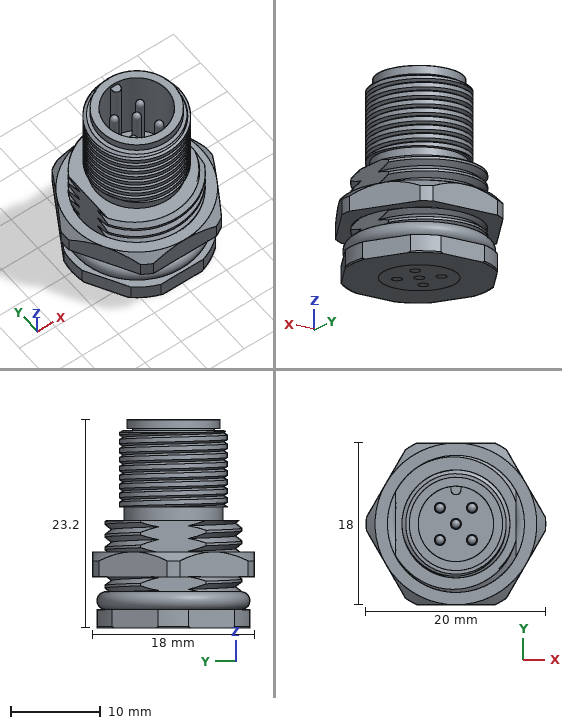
import cadquery as cq
import math

total_height = 23.2
flange_top = 2.06
panel_thread_bottom = 4.05
nut_bottom = 5.7
nut_height = 2.78
panel_thread_top = 11.97
plug_thread_bottom = 13.5
plug_thread_top = 22.0
lip_bottom = 22.2

flange_across_flats = 17.0
flange_radius = 9.0
flange_chamfer_radial = 0.1
flange_chamfer_height = 0.16

nut_across_flats = 18.0
nut_radius = 10.0
nut_chamfer = nut_radius - nut_across_flats / 2

panel_thread_radius = 7.63
panel_thread_pitch = 1.42
panel_groove_depth = 0.72
panel_groove_half_angle = 38.0
panel_groove_level = 9.2
panel_flat_offset = 6.7

plug_thread_radius = 6.0
plug_thread_pitch = 1.0
plug_groove_depth = 0.42
plug_groove_half_angle = 30.0
plug_groove_level = 20.0
plug_chamfer_radial = 0.42
plug_chamfer_height = 0.23
plug_neck_radius = 5.52

ring_outer_radius = 8.51
ring_tube_radius = (panel_thread_bottom - flange_top) / 2
ring_path_radius = ring_outer_radius - ring_tube_radius
seal_neck_radius = ring_path_radius - ring_tube_radius

carrier_radius = 4.55
lip_radius = 5.2
cup_radius = 4.2
cup_floor = plug_thread_bottom
key_width = 1.11
key_reach = 3.25
key_top = 22.78

pin_shank_radius = 0.6
pin_radius = 0.5
pin_spacing = 3.57
outer_pin_top = 21.11
centre_pin_top = 22.1


def cylinder(radius, bottom, top):
    """Solid cylinder on the connector axis between two levels."""
    return cq.Workplane("XY").workplane(offset=bottom).circle(radius).extrude(top - bottom)


def hex_prism(across_flats, bottom, top):
    """Hexagonal prism with two corners on the X axis."""
    corner_diameter = across_flats / math.cos(math.pi / 6)
    return cq.Workplane("XY").workplane(offset=bottom).polygon(6, corner_diameter).extrude(top - bottom)


def cut_thread(blank, radius, pitch, depth, half_angle, groove_level, bottom, top):
    """Cut a right-handed V groove along a round blank, running out through both ends.

    groove_level is a height at which the groove root crosses the XZ plane on the +X side.
    """
    overshoot = 0.12
    half_width = (depth + overshoot) * math.tan(math.radians(half_angle))
    turns_below = math.ceil((groove_level - bottom + half_width) / pitch)
    start = groove_level - turns_below * pitch
    turns = math.ceil((top + half_width - start) / pitch)
    root_radius = radius - depth
    helix = cq.Wire.makeHelix(pitch, pitch, root_radius, cq.Vector(0, 0, start))
    one_turn = (
        cq.Workplane("XZ")
        .moveTo(root_radius, start)
        .lineTo(radius + overshoot, start - half_width)
        .lineTo(radius + overshoot, start + half_width)
        .close()
        .sweep(cq.Workplane(helix), isFrenet=True)
    )
    threaded = blank
    for turn in range(turns):
        threaded = threaded.cut(one_turn.translate((0, 0, turn * pitch)))
    return threaded


def make_flange():
    """Hexagonal flange with rounded corners and a chamfered lower rim."""
    rounding = cylinder(flange_radius, 0, flange_top)
    rounding = rounding.faces("<Z").chamfer(flange_chamfer_height, flange_chamfer_radial)
    return hex_prism(flange_across_flats, 0, flange_top).intersect(rounding)


def make_panel_thread():
    """Panel thread with a flat on its -X and +X sides."""
    blank = cylinder(panel_thread_radius, panel_thread_bottom, panel_thread_top)
    thread = cut_thread(
        blank,
        panel_thread_radius,
        panel_thread_pitch,
        panel_groove_depth,
        panel_groove_half_angle,
        panel_groove_level,
        panel_thread_bottom,
        panel_thread_top,
    )
    between_flats = (
        cq.Workplane("XY")
        .workplane(offset=panel_thread_bottom)
        .rect(2 * panel_flat_offset, 2 * flange_radius)
        .extrude(panel_thread_top - panel_thread_bottom)
    )
    return thread.intersect(between_flats)


def make_plug_thread():
    """Plug thread with a chamfered upper end."""
    blank = cylinder(plug_thread_radius, plug_thread_bottom, plug_thread_top)
    blank = blank.faces(">Z").chamfer(plug_chamfer_height, plug_chamfer_radial)
    return cut_thread(
        blank,
        plug_thread_radius,
        plug_thread_pitch,
        plug_groove_depth,
        plug_groove_half_angle,
        plug_groove_level,
        plug_thread_bottom,
        plug_thread_top,
    )


def make_housing():
    """Housing: flange, seal neck and both threads on one axis, bored through for the carrier."""
    seal_neck = cylinder(seal_neck_radius, flange_top, panel_thread_bottom)
    plug_neck = cylinder(plug_neck_radius, panel_thread_top, plug_thread_bottom)
    bore = cylinder(carrier_radius, 0, plug_thread_top)
    outside = make_flange().union(seal_neck).union(make_panel_thread()).union(plug_neck)
    return outside.union(make_plug_thread()).cut(bore)


def make_nut():
    """Lock nut with a conical upper face, bored to the panel thread's outer diameter."""
    nut_top = nut_bottom + nut_height
    rounding = cylinder(nut_radius, nut_bottom, nut_top).faces(">Z").chamfer(nut_chamfer)
    hexagon = hex_prism(nut_across_flats, nut_bottom, nut_top).intersect(rounding)
    return hexagon.cut(cylinder(panel_thread_radius, nut_bottom, nut_top))


def make_sealing_ring():
    """Round-section ring on the seal neck."""
    ring_level = (flange_top + panel_thread_bottom) / 2
    return cq.Workplane(cq.Solid.makeTorus(ring_path_radius, ring_tube_radius, cq.Vector(0, 0, ring_level)))


def make_key():
    """Coding key: a round-nosed rib on the +Y wall of the cup."""
    key_height = key_top - cup_floor
    nose_centre = key_reach + key_width / 2
    wall_middle = (cup_radius + carrier_radius) / 2
    key = cq.Workplane("XY").workplane(offset=cup_floor)
    nose = key.center(0, nose_centre).circle(key_width / 2).extrude(key_height)
    web = (
        key.center(0, (nose_centre + wall_middle) / 2)
        .rect(key_width, wall_middle - nose_centre)
        .extrude(key_height)
    )
    return nose.union(web)


def make_carrier(pin_places):
    """Contact carrier with a lip, a keyed cup and a hole for each pin shank."""
    body = cylinder(carrier_radius, 0, total_height)
    body = body.union(cylinder(lip_radius, lip_bottom, total_height))
    body = body.cut(cylinder(cup_radius, cup_floor, total_height)).union(make_key())
    pin_holes = cq.Workplane("XY").pushPoints(pin_places).circle(pin_shank_radius).extrude(cup_floor)
    return body.cut(pin_holes)


def make_pin(place, top):
    """Contact pin: its shank ends flush with the cup floor and its contact ends in a dome."""
    shank = cylinder(pin_shank_radius, 0, cup_floor)
    contact = cylinder(pin_radius, cup_floor, top - pin_radius)
    dome = cq.Workplane("XY").workplane(offset=top - pin_radius).sphere(pin_radius)
    return shank.union(contact).union(dome).translate((*place, 0))


centre_place = (0, 0)
half_spacing = pin_spacing / 2
outer_places = [(x, y) for x in (-half_spacing, half_spacing) for y in (-half_spacing, half_spacing)]

housing = make_housing()
nut = make_nut()
sealing_ring = make_sealing_ring()
carrier = make_carrier([centre_place, *outer_places])
centre_pin = make_pin(centre_place, centre_pin_top)
outer_pins = [make_pin(place, outer_pin_top) for place in outer_places]

result = cq.Compound.makeCompound(
    [
        housing.val(),
        nut.val(),
        sealing_ring.val(),
        carrier.val(),
        centre_pin.val(),
        *[pin.val() for pin in outer_pins],
    ]
)